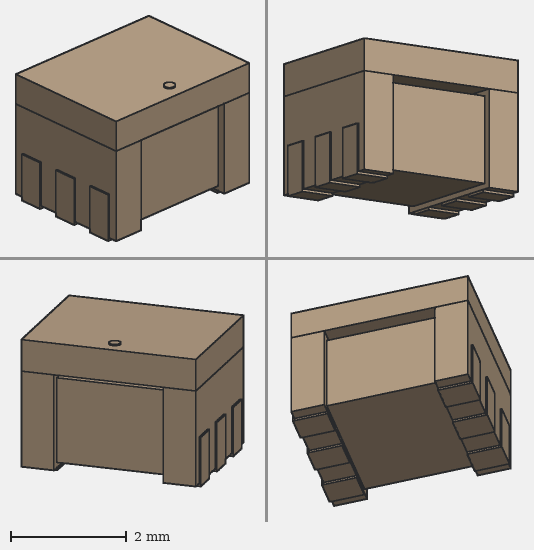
import cadquery as cq

overall_length = 3.26
overall_height = 2.4
body_width = 2.5

terminal_width = 0.45
terminal_pitch = 0.848
terminal_shift = 0.005
terminal_height = 0.9
end_thickness = 0.03
foot_thickness = 0.05
terminals_per_end = 3

leg_thickness = 0.6
bar_inset = 0.147
bar_bottom = 0.15
bar_gap = 0.1

plate_thickness = 0.577
dot_diameter = 0.205
dot_height = 0.023
dot_x = 0.923

body_length = overall_length - 2 * end_thickness
plate_top = overall_height - dot_height
plate_bottom = plate_top - plate_thickness
bar_top = plate_bottom - bar_gap
leg_centre_y = (body_length - leg_thickness) / 2


def block(width, length, bottom, top):
    """Upright box centred on X and Y between two Z levels."""
    return (
        cq.Workplane("XY")
        .workplane(offset=bottom)
        .rect(width, length)
        .extrude(top - bottom)
    )


def make_core():
    """Two full-width legs and the narrower bar between them, as one solid."""
    leg = block(body_width, leg_thickness, foot_thickness, plate_bottom)
    bar = block(body_width - 2 * bar_inset, body_length - leg_thickness, bar_bottom, bar_top)
    front_leg = leg.translate((0, -leg_centre_y, 0))
    back_leg = leg.translate((0, leg_centre_y, 0))
    return bar.union(front_leg).union(back_leg)


def make_cover_plate():
    """Flat plate closing the top of both legs."""
    return block(body_width, body_length, plate_bottom, plate_top)


def make_marking_dot():
    """Thin round mark on the cover plate, near the +X side."""
    return (
        cq.Workplane("XY")
        .workplane(offset=plate_top)
        .center(dot_x, 0)
        .circle(dot_diameter / 2)
        .extrude(dot_height)
    )


def make_terminal(x, end):
    """L-shaped terminal centred at x; end is -1 for the -Y leg and +1 for the +Y leg."""
    outer_y = end * overall_length / 2
    face_y = end * body_length / 2
    inner_y = end * (body_length / 2 - leg_thickness)
    return (
        cq.Workplane("YZ")
        .workplane(offset=x - terminal_width / 2)
        .moveTo(inner_y, 0)
        .lineTo(outer_y, 0)
        .lineTo(outer_y, terminal_height)
        .lineTo(face_y, terminal_height)
        .lineTo(face_y, foot_thickness)
        .lineTo(inner_y, foot_thickness)
        .close()
        .extrude(terminal_width)
    )


core = make_core()
cover_plate = make_cover_plate()
marking_dot = make_marking_dot()

terminals = []
for end in (-1, 1):
    for index in range(terminals_per_end):
        terminal_x = terminal_shift + (index - (terminals_per_end - 1) / 2) * terminal_pitch
        terminals.append(make_terminal(terminal_x, end).val())

result = cq.Compound.makeCompound([core.val(), cover_plate.val(), marking_dot.val(), *terminals])